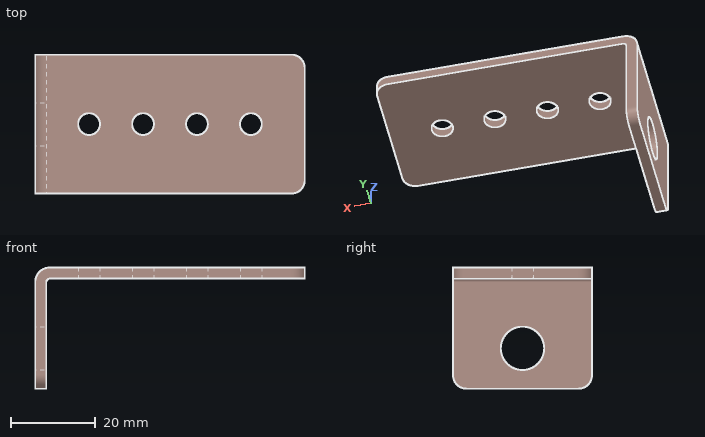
import cadquery as cq

length = 63.5
width = 32.75
height = 28.6

thickness = 2.65
inner_bend_radius = 0.75
outer_bend_radius = inner_bend_radius + thickness
corner_radius = 3.2

small_hole_diameter = 5.1
small_hole_count = 4
small_hole_pitch = length / (small_hole_count + 1)

large_hole_diameter = 10.15
large_hole_height = height / 3


def bent_sheet():
    """L-shaped sheet: outer bend edge along Y, centred on Y = 0, free edge at Z = 0."""
    outer = cq.Workplane("XY").box(length, width, height, centered=(False, True, False))
    outer = outer.edges("|Y and <X and >Z").fillet(outer_bend_radius)
    inner = (
        cq.Workplane("XY")
        .box(length, width, height, centered=(False, True, False))
        .edges("|Y and <X and >Z")
        .fillet(inner_bend_radius)
        .translate((thickness, 0, -thickness))
    )
    return outer.cut(inner)


def round_free_corners(sheet):
    """Round the corners at the free end of each flange."""
    sheet = sheet.edges("|Z and >X").fillet(corner_radius)
    return sheet.edges("|X and <Z").fillet(corner_radius)


def small_holes():
    """Evenly spaced cutters through the long flange."""
    centres = [(small_hole_pitch * (i + 1), 0) for i in range(small_hole_count)]
    return (
        cq.Workplane("XY", origin=(0, 0, height - thickness))
        .pushPoints(centres)
        .circle(small_hole_diameter / 2)
        .extrude(thickness)
    )


def large_hole():
    """Cutter through the short flange."""
    return (
        cq.Workplane("YZ")
        .center(0, large_hole_height)
        .circle(large_hole_diameter / 2)
        .extrude(thickness)
    )


result = round_free_corners(bent_sheet()).cut(small_holes()).cut(large_hole())